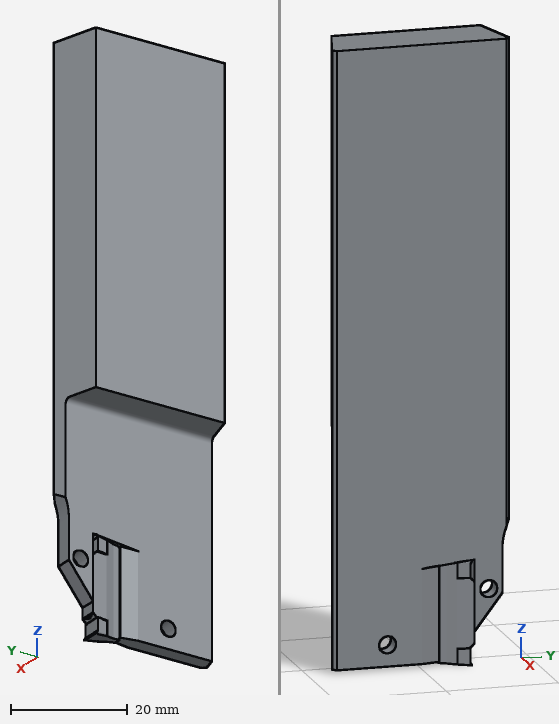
import cadquery as cq
import math


holder_top = 110.8
holder_depth = 31.6
blade_thickness = 3.3
shank_thickness = 10.0
shank_bottom = 42.9
blade_bottom = 0.9
root_radius = 1.0
flank_angle = 15.0
back_chamfer = 0.7

nose_y = 14.4
relief_radius = 10.0
relief_bottom = 20.5
nose_bottom = 12.5
jaw_bevel_bottom = 6.0
jaw_bottom = 3.9

hole_diameter = 3.0
hole_centers = [(12.0, 13.4), (-6.1, 4.8)]

jaw_edge_y = 9.4
jaw_ridge_height = 0.4
seat_y = 3.3
chip_relief_y = 0.1
chip_relief_angle = 11.0

insert_length = 18.7
end_clearance_angle = 6.0
head_width = 4.0
head_length = 3.1
head_corner_radius = 0.3
head_side_angle = 9.0
shoulder_y = 6.4
waist_y = 4.7
band_angle = 5.0
taper_angle = 17.5
chip_groove_depth = 0.3
chip_lip_run = 0.5
chip_groove_exit = 0.8

half_depth = holder_depth / 2
half_blade = blade_thickness / 2
shank_front = half_blade - shank_thickness
tip_y = jaw_edge_y - jaw_ridge_height
cut_margin = 1.1


def drop(run, angle):
    """Height lost by a slope over a run."""
    return run * math.tan(math.radians(angle))


def prism_along_x(points, half_width):
    """Prism symmetric about X = 0, from (Y, Z) points."""
    return cq.Workplane("YZ").polyline(points).close().extrude(half_width, both=True)


def prism_along_z(points, bottom, top):
    """Upright prism from (X, Y) points."""
    return cq.Workplane("XY").workplane(offset=bottom).polyline(points).close().extrude(top - bottom)


def mirrored_section(right_side):
    """Close the +X half of an (X, Y) section with its mirror image."""
    left_side = [(-x, y) for x, y in reversed(right_side) if x > 0]
    return right_side + left_side


def insert_top_end(y):
    """Z of the insert's sloped upper end, which rests on the stop of the pocket."""
    return insert_length - drop(tip_y - y, end_clearance_angle)


def make_dovetail_bar():
    """Full-height bar with slanted sides and chamfered back edges."""
    widest_x = half_blade - back_chamfer
    front_half = half_depth - drop(widest_x - shank_front, flank_angle)
    back_half = half_depth - back_chamfer
    section = [
        (shank_front, -front_half),
        (widest_x, -half_depth),
        (half_blade, -back_half),
        (half_blade, back_half),
        (widest_x, half_depth),
        (shank_front, front_half),
    ]
    return prism_along_z(section, blade_bottom, holder_top)


def make_blade_clearance():
    """Space in front of the blade below the shank, rounded at the root."""
    clearance_front = shank_front - cut_margin
    clearance_bottom = blade_bottom - cut_margin
    return (
        cq.Workplane("XZ")
        .moveTo(clearance_front, clearance_bottom)
        .lineTo(-half_blade, clearance_bottom)
        .lineTo(-half_blade, shank_bottom - root_radius)
        .radiusArc((-half_blade - root_radius, shank_bottom), -root_radius)
        .lineTo(clearance_front, shank_bottom)
        .close()
        .extrude(half_depth + cut_margin, both=True)
    )


def make_nose_cut():
    """Material removed from the +Y edge of the blade, up to the jaw and the seat."""
    outside_y = half_depth + cut_margin
    below = blade_bottom - cut_margin
    arc_center_y = nose_y + relief_radius
    arc_end_z = relief_bottom + math.sqrt(relief_radius**2 - (arc_center_y - outside_y) ** 2)
    return (
        cq.Workplane("YZ")
        .moveTo(seat_y, below)
        .lineTo(seat_y, jaw_bottom)
        .lineTo(jaw_edge_y, jaw_bottom)
        .lineTo(jaw_edge_y, jaw_bevel_bottom)
        .lineTo(nose_y, nose_bottom)
        .lineTo(nose_y, relief_bottom)
        .radiusArc((outside_y, arc_end_z), relief_radius)
        .lineTo(outside_y, below)
        .close()
        .extrude(blade_thickness, both=True)
    )


def make_pocket():
    """Insert slot with a V-ridged jaw wall, and the slanted chip relief on both blade faces."""
    relief_depth = drop(seat_y - chip_relief_y, chip_relief_angle)
    slot = mirrored_section([(0, seat_y), (half_blade, seat_y), (half_blade, jaw_edge_y), (0, tip_y)])
    relief = [(half_blade, chip_relief_y), (half_blade, seat_y), (half_blade - relief_depth, seat_y)]
    below = blade_bottom - cut_margin
    pocket = prism_along_z(slot, below, shank_bottom)
    for side in (1, -1):
        pocket = pocket.union(prism_along_z([(side * x, y) for x, y in relief], below, shank_bottom))
    pocket_bounds = [
        (chip_relief_y, below),
        (jaw_edge_y, below),
        (jaw_edge_y, insert_top_end(jaw_edge_y)),
        (chip_relief_y, insert_top_end(chip_relief_y)),
    ]
    return pocket.intersect(prism_along_x(pocket_bounds, blade_thickness))


def make_holder():
    holes = cq.Workplane("YZ").pushPoints(hole_centers).circle(hole_diameter / 2)
    return (
        make_dovetail_bar()
        .cut(make_blade_clearance())
        .cut(make_nose_cut())
        .cut(make_pocket())
        .cut(holes.extrude(blade_thickness, both=True))
    )


def make_insert_bar():
    """Bar whose top groove fits the jaw ridge and whose sides step in towards the seat."""
    shoulder_half = half_blade - drop(jaw_edge_y - shoulder_y, band_angle)
    waist_half = shoulder_half - drop(shoulder_y - waist_y, taper_angle)
    seat_half = waist_half - drop(waist_y - seat_y, band_angle)
    right_side = [
        (0, tip_y),
        (half_blade, jaw_edge_y),
        (shoulder_half, shoulder_y),
        (waist_half, waist_y),
        (seat_half, seat_y),
    ]
    return prism_along_z(mirrored_section(right_side), 0, insert_length)


def make_lower_head():
    """Wide cutting head with a sloped end and rounded end corners."""
    top_half = head_width / 2
    shoulder_half = top_half - drop(tip_y - shoulder_y, head_side_angle)
    section = mirrored_section([(top_half, tip_y), (shoulder_half, shoulder_y)])
    end_bounds = [
        (tip_y, 0),
        (tip_y, head_length),
        (shoulder_y, head_length),
        (shoulder_y, drop(tip_y - shoulder_y, end_clearance_angle)),
    ]
    head = prism_along_z(section, 0, head_length).intersect(prism_along_x(end_bounds, head_width))
    return head.faces("<Z").edges("<X or >X").fillet(head_corner_radius)


def make_insert_profile():
    """Side outline of the insert: sloped ends and a chip groove behind each cutting edge."""
    floor_y = tip_y - chip_groove_depth
    lower_half = [
        (seat_y, drop(tip_y - seat_y, end_clearance_angle)),
        (tip_y, 0),
        (floor_y, chip_lip_run),
        (floor_y, head_length),
        (jaw_edge_y, head_length + chip_groove_exit),
    ]
    upper_half = [(y, insert_length - z) for y, z in reversed(lower_half)]
    return prism_along_x(lower_half + upper_half, head_width)


def make_insert():
    lower_head = make_lower_head()
    upper_head = lower_head.mirror("XY", (0, 0, insert_length / 2))
    blank = make_insert_bar().union(lower_head).union(upper_head)
    return blank.intersect(make_insert_profile())


holder = make_holder().solids()
insert = make_insert().solids()
result = cq.Compound.makeCompound([holder.val(), insert.val()])